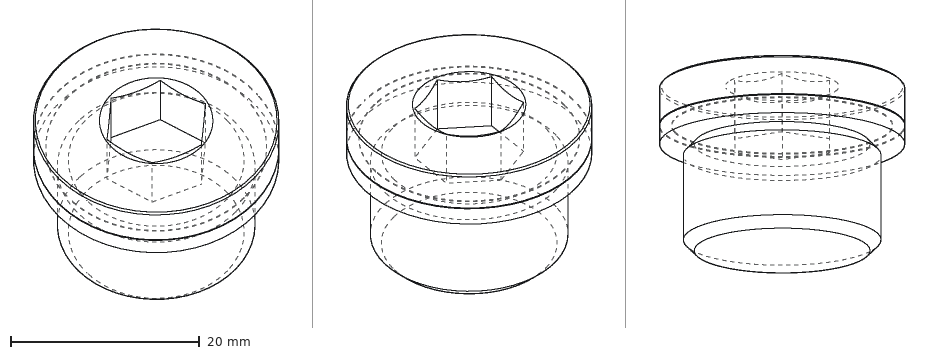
import cadquery as cq
import math

total_height = 18.0
head_underside = 11.67
groove_bottom = 13.65
groove_height = 0.1

head_diameter = 26.0
groove_diameter = 23.4
shank_diameter = 20.95
shank_end_diameter = 18.62

head_chamfer = 0.2
end_chamfer_height = (shank_diameter - shank_end_diameter) / 2
undercut_height = 1.22

hex_across_flats = 10.0
hex_depth = 6.5
countersink_diameter = 12.0
countersink_angle = 30.0


def plug_body():
    """Revolved head, sealing ring, undercut and shank."""
    head_radius = head_diameter / 2
    groove_radius = groove_diameter / 2
    shank_radius = shank_diameter / 2
    end_radius = shank_end_diameter / 2
    groove_top = groove_bottom + groove_height
    profile = [
        (0, 0),
        (end_radius, 0),
        (shank_radius, end_chamfer_height),
        (shank_radius, head_underside - undercut_height),
        (end_radius, head_underside),
        (head_radius, head_underside),
        (head_radius, groove_bottom),
        (groove_radius, groove_bottom),
        (groove_radius, groove_top),
        (head_radius, groove_top),
        (head_radius, total_height - head_chamfer),
        (head_radius - head_chamfer, total_height),
        (0, total_height),
    ]
    return cq.Workplane("XZ").polyline(profile).close().revolve(360, (0, 0, 0), (0, 1, 0))


def hex_socket():
    """Hexagonal cutter with two corners on the Y axis."""
    across_corners = hex_across_flats / math.cos(math.radians(30))
    return (
        cq.Workplane("XY", origin=(0, 0, total_height))
        .transformed(rotate=(0, 0, 90))
        .polygon(6, across_corners)
        .extrude(-hex_depth)
    )


def socket_countersink():
    """Conical cutter that opens the mouth of the hexagon socket."""
    radius = countersink_diameter / 2
    depth = radius * math.tan(math.radians(countersink_angle))
    profile = [(0, total_height), (radius, total_height), (0, total_height - depth)]
    return cq.Workplane("XZ").polyline(profile).close().revolve(360, (0, 0, 0), (0, 1, 0))


result = plug_body().cut(hex_socket()).cut(socket_countersink())